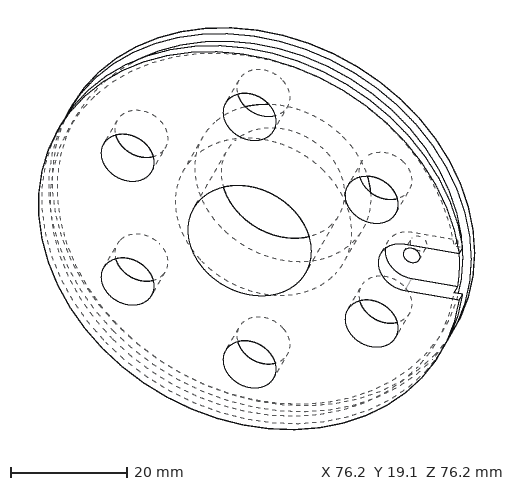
import cadquery as cq

DISC_DIAMETER = 76.2
TOTAL_LENGTH = 19.05
DISC_THICKNESS = 7.9
HUB_DIAMETER = 31.8
BORE_DIAMETER = 22.25

GROOVE_WIDTH = DISC_THICKNESS / 2
GROOVE_DEPTH = 1.5

RING_HOLE_COUNT = 6
RING_HOLE_DIAMETER = 9.5
RING_RADIUS = DISC_DIAMETER / 3

SLOT_WIDTH = RING_HOLE_DIAMETER
SLOT_DEPTH = DISC_THICKNESS / 2
SLOT_CENTER_X = 28.0
PIN_HOLE_DIAMETER = 3.0


def cylinder(diameter, start_y, length, x=0, z=0):
    """Cylinder along +Y starting at start_y."""
    base = cq.Workplane("XZ", origin=(x, start_y, z))
    return base.circle(diameter / 2).extrude(-length)


def grooved_disc():
    disc = cylinder(DISC_DIAMETER, 0, DISC_THICKNESS)
    groove_start = (DISC_THICKNESS - GROOVE_WIDTH) / 2
    groove_floor_diameter = DISC_DIAMETER - 2 * GROOVE_DEPTH
    groove = cylinder(DISC_DIAMETER, groove_start, GROOVE_WIDTH).cut(
        cylinder(groove_floor_diameter, groove_start, GROOVE_WIDTH)
    )
    return disc.cut(groove)


def ring_holes():
    return (
        cq.Workplane("XZ")
        .polarArray(RING_RADIUS, 90, 360, RING_HOLE_COUNT)
        .circle(RING_HOLE_DIAMETER / 2)
        .extrude(-DISC_THICKNESS)
    )


def rim_slot():
    round_end = cylinder(SLOT_WIDTH, 0, SLOT_DEPTH, x=SLOT_CENTER_X)
    straight = cq.Workplane("XY", origin=(SLOT_CENTER_X, 0, 0)).box(
        DISC_DIAMETER / 2, SLOT_DEPTH, SLOT_WIDTH, centered=(False, False, True)
    )
    return round_end.union(straight)


hub = cylinder(HUB_DIAMETER, 0, TOTAL_LENGTH)
bore = cylinder(BORE_DIAMETER, 0, TOTAL_LENGTH)
pin_hole = cylinder(PIN_HOLE_DIAMETER, 0, DISC_THICKNESS, x=SLOT_CENTER_X)

result = (
    grooved_disc()
    .union(hub)
    .cut(bore)
    .cut(ring_holes())
    .cut(rim_slot())
    .cut(pin_hole)
)